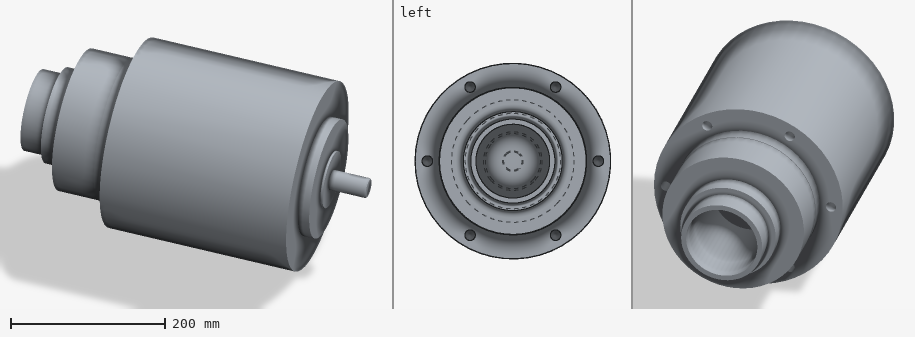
import cadquery as cq
import math

length = 458.0
sleeve_end = 31.0
neck_end = 57.0
spigot_end = 114.0
body_start = 133.0
body_end = 388.0
flange_end = 403.5
collar_end = 408.0

sleeve_diameter = 109.0
neck_diameter = 128.5
spigot_diameter = 190.0
pilot_diameter = 191.5
body_diameter = 254.0
flange_diameter = 159.0
collar_diameter = 76.0
shaft_diameter = 26.5
shaft_chamfer = 1.5

undercut_width = 1.5
undercut_depth = 2.5

bore_diameter = 95.8
bore_depth = body_start

hole_count = 6
hole_diameter = 13.7
hole_circle_diameter = 222.0
hole_depth = 32.0
drill_point_angle = 118.0


def cylinder(start, end, diameter):
    """Solid cylinder on the X axis between two stations."""
    return cq.Workplane("YZ", origin=(start, 0, 0)).circle(diameter / 2).extrude(end - start)


def undercut(start, diameter):
    """Ring cutter for a shallow groove around a step of the given diameter."""
    end = start + undercut_width
    core = cylinder(start, end, diameter - 2 * undercut_depth)
    return cylinder(start, end, diameter).cut(core)


def drilled_hole(y, z):
    """Cutter for one blind hole with a conical drill point, entering the body face."""
    radius = hole_diameter / 2
    point_length = radius / math.tan(math.radians(drill_point_angle / 2))
    profile = [
        (0, 0),
        (0, radius),
        (hole_depth, radius),
        (hole_depth + point_length, 0),
    ]
    cutter = cq.Workplane("XY").polyline(profile).close().revolve(360, (0, 0, 0), (1, 0, 0))
    return cutter.translate((body_start, y, z))


body = cylinder(0, sleeve_end, sleeve_diameter)
body = body.union(cylinder(sleeve_end, neck_end, neck_diameter))
body = body.union(cylinder(neck_end, spigot_end, spigot_diameter))
body = body.union(cylinder(spigot_end, body_start, pilot_diameter))
body = body.union(cylinder(body_start, body_end, body_diameter))
body = body.union(cylinder(body_end, flange_end, flange_diameter))
body = body.union(cylinder(flange_end, collar_end, collar_diameter))

shaft = cylinder(collar_end, length, shaft_diameter).faces(">X").chamfer(shaft_chamfer)
body = body.union(shaft)

body = body.cut(undercut(neck_end - undercut_width, neck_diameter))
body = body.cut(undercut(flange_end, collar_diameter))

body = body.cut(cylinder(0, bore_depth, bore_diameter))

for index in range(hole_count):
    angle = 2 * math.pi * index / hole_count
    hole_y = hole_circle_diameter / 2 * math.cos(angle)
    hole_z = hole_circle_diameter / 2 * math.sin(angle)
    body = body.cut(drilled_hole(hole_y, hole_z))

result = body